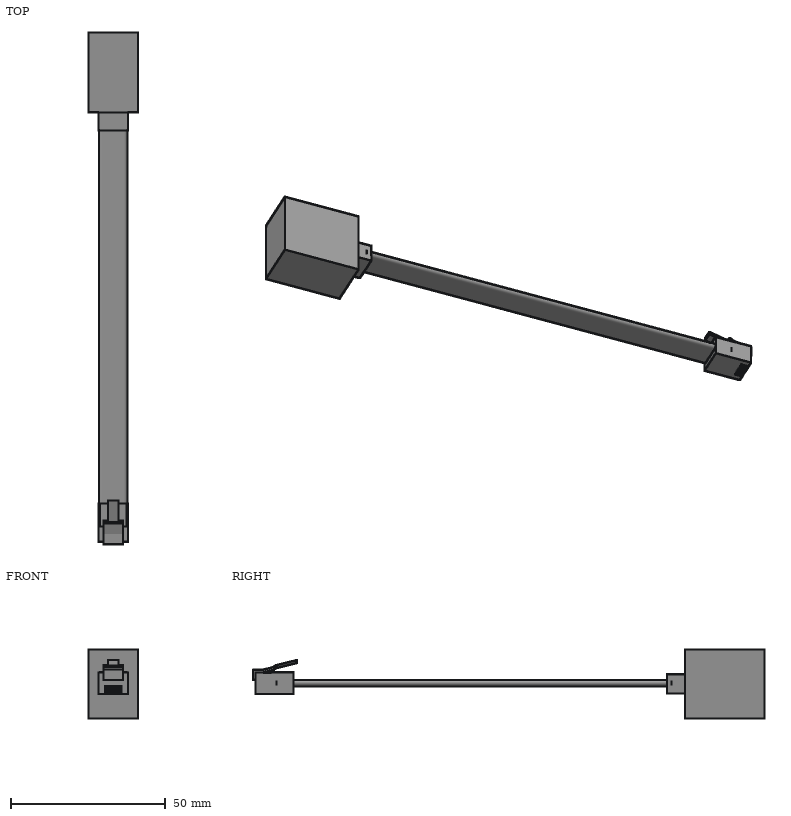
import cadquery as cq
import math


housing_width = 16.0
housing_height = 22.4
total_length = 165.6
jack_length = 18.2
cover_length = 7.6
relief_length = 5.8
relief_height = 6.3

plug_width = 9.6
plug_front = 0.8
plug_length = 12.5
plug_bottom = -3.3
plug_height = 7.0
panel_length = 7.5
panel_inset = 0.5
panel_height = 0.2

cable_wall = 0.2
cable_thickness = 2.2
cable_middle = 0.25
depth_in_plug = 5.6
depth_in_relief = 1.5

slot_count = 6
slot_pitch = 1.0
slot_width = 0.5
slot_height = 2.7
slot_depth = 2.5

clip_width = 6.5
clip_thickness = 1.0
lip_height = 3.3
lip_round = 0.3
flat_end = 3.3
step_start = 6.8
step_end = 7.3
step_rise = 0.5
base_end = 7.8
tab_end = 14.2
tab_width = 3.5
clip_slope = math.tan(math.radians(14))

plug_top = plug_bottom + plug_height
plug_rear = plug_front + plug_length

clip_top = plug_top + clip_thickness
lip_bottom = clip_top - lip_height
step_low = clip_top + (step_start - flat_end) * clip_slope
step_high = step_low + step_rise
base_top = step_high + (base_end - step_end) * clip_slope
tab_top = base_top + (tab_end - base_end) * clip_slope

cover_front = total_length - jack_length - cover_length
cover_rear = cover_front + cover_length
relief_front = cover_front - relief_length
relief_width = plug_width
cable_width = plug_width - 2 * cable_wall
cable_start = plug_rear - depth_in_plug
cable_end = relief_front + depth_in_relief


def block(width, y_start, y_end, z_bottom, z_top):
    """Box centred on X = 0 between the given Y and Z limits."""
    return (
        cq.Workplane("XY")
        .box(width, y_end - y_start, z_top - z_bottom, centered=(True, False, False))
        .translate((0, y_start, z_bottom))
    )


def side_extrusion(points, width):
    """Closed Y-Z outline extruded to a width centred on X = 0."""
    return cq.Workplane("YZ").polyline(points).close().extrude(width / 2, both=True)


def make_cable():
    """Flat cable with half-round sides, each made of two quarter arcs."""
    radius = cable_thickness / 2
    half_flat = cable_width / 2 - radius
    half_width = cable_width / 2
    return (
        cq.Workplane("XZ", origin=(0, cable_start, cable_middle))
        .moveTo(-half_flat, radius)
        .lineTo(half_flat, radius)
        .radiusArc((half_width, 0), radius)
        .radiusArc((half_flat, -radius), radius)
        .lineTo(-half_flat, -radius)
        .radiusArc((-half_width, 0), radius)
        .radiusArc((-half_flat, radius), radius)
        .close()
        .extrude(cable_start - cable_end, clean=False)
    )


def make_housing(cable):
    """Housing with a recess for the cable; the seam between jack and cover stays as a face edge."""
    half = housing_height / 2
    jack = block(housing_width, cover_rear, total_length, -half, half)
    cover = block(housing_width, cover_front, cover_rear, -half, half)
    relief = block(relief_width, relief_front, cover_front, -relief_height / 2, relief_height / 2)
    body = cover.union(relief).union(jack, clean=False)
    return body.cut(cable, clean=False)


def make_clip_base():
    """Wide part of the clip, from the lip over the plug's front to the end of the stepped base."""
    base = side_extrusion(
        [
            (plug_front, plug_top),
            (plug_front, lip_bottom),
            (0, lip_bottom),
            (0, clip_top),
            (flat_end, clip_top),
            (step_start, step_low),
            (step_end, step_high),
            (base_end, base_top),
            (base_end, base_top - clip_thickness),
            (step_end, step_high - clip_thickness),
            (step_start, step_low - clip_thickness),
            (flat_end, plug_top),
        ],
        clip_width,
    )
    front_top_edge = cq.selectors.NearestToPointSelector((0, 0, clip_top))
    return base.edges(front_top_edge).fillet(lip_round)


def make_clip_tab():
    """Narrow finger tab that carries on the slope of the base."""
    return side_extrusion(
        [
            (base_end, base_top),
            (tab_end, tab_top),
            (tab_end, tab_top - clip_thickness),
            (base_end, base_top - clip_thickness),
        ],
        tab_width,
    )


def cut_contact_slots(body):
    """Row of slots open to the front and the bottom of the plug."""
    slot = block(slot_width, plug_front, plug_front + slot_depth, plug_bottom, plug_bottom + slot_height)
    for index in range(slot_count):
        x = (index - (slot_count - 1) / 2) * slot_pitch
        body = body.cut(slot.translate((x, 0, 0)))
    return body


def make_plug(cable):
    """Plug with a raised rear panel, latch clip, contact slots and a recess for the cable."""
    body = block(plug_width, plug_front, plug_rear, plug_bottom, plug_top)
    panel_width = plug_width - 2 * panel_inset
    panel = block(panel_width, plug_rear - panel_length, plug_rear, plug_top, plug_top + panel_height)
    body = body.union(panel).union(make_clip_base()).union(make_clip_tab())
    return cut_contact_slots(body).cut(cable)


cable = make_cable()
housing = make_housing(cable)
plug = make_plug(cable)
result = cq.Compound.makeCompound([housing.solids().val(), cable.val(), plug.solids().val()])